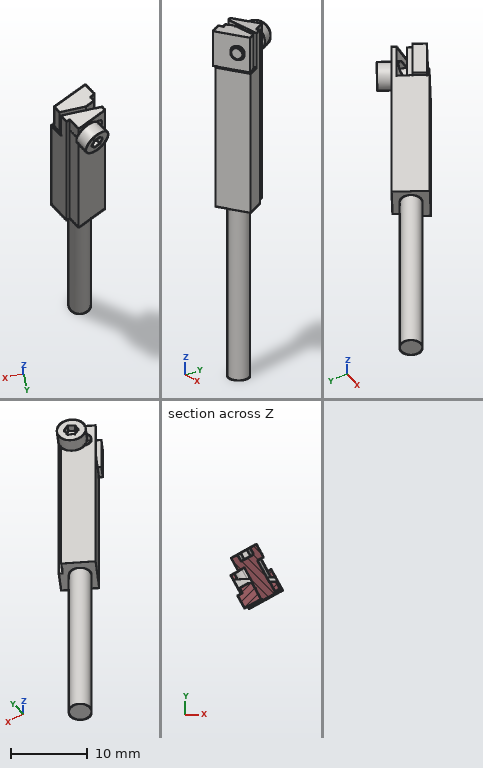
import cadquery as cq
import math

total_height = 50.0
shank_length = 25.0
jaw_height = 5.0
shank_diameter = 3.0
jaw_base = total_height - jaw_height

turn_angle = 28.8
block_width = 5.0
block_depth = 5.0
side_recess = 0.5
side_recess_length = 1.85
block_left = -(block_width - side_recess) / 2
block_right = block_left + block_width
block_back = block_depth / 2
block_front = -block_depth / 2
rail_back = block_back - side_recess_length

slot_start = 0.65
slot_angle = 25.5
slot_width = 0.55

jaw_front_gap = 0.35
jaw_side_gap = 0.2
jaw_overhang = 0.5
jaw_back_gap = 2.0
jaw_step_gap = 2.75
jaw_front = block_front + jaw_front_gap
jaw_left = block_left + jaw_side_gap
jaw_right = block_right - jaw_side_gap

screw_x = block_left + 3.0
screw_z = total_height - 2.5
thread_diameter = 2.0
thread_chamfer = 0.2
tip_projection = 0.25
head_diameter = 3.8
head_height = 1.95
socket_flats = 1.6
socket_depth = 1.0
head_seat = block_back
tip_y = jaw_front - tip_projection

oblong_height = 2.2
oblong_length = 3.9
oblong_x = block_left + block_width / 2


def prism(points, bottom, top):
    """Upright solid with a polygonal outline."""
    return cq.Workplane("XY").workplane(offset=bottom).polyline(points).close().extrude(top - bottom)


def screw_rod(diameter, start_y, length):
    """Cylinder on the screw axis, running from start_y toward the front."""
    plane = cq.Workplane("XZ", origin=(screw_x, start_y, screw_z))
    return plane.circle(diameter / 2).extrude(length)


def turned(body):
    """Turn a body from its local layout to its final direction."""
    return body.rotate((0, 0, 0), (0, 0, 1), turn_angle)


def make_holder():
    slope = math.tan(math.radians(slot_angle))
    slot_drop = slot_width / math.cos(math.radians(slot_angle))
    wall_left_y = block_back - slot_start
    recess_x = block_right - side_recess

    def slot_wall_y(x):
        return wall_left_y - slope * (x - block_left)

    shank = cq.Workplane("XY").circle(shank_diameter / 2).extrude(shank_length)

    block = prism(
        [
            (block_left, block_front),
            (block_right, block_front),
            (block_right, rail_back),
            (recess_x, rail_back),
            (recess_x, block_back),
            (block_left, block_back),
        ],
        shank_length,
        jaw_base,
    )

    rear_jaw = prism(
        [
            (block_left, wall_left_y),
            (block_right, slot_wall_y(block_right)),
            (block_right, rail_back),
            (recess_x, rail_back),
            (recess_x, block_back),
            (block_left, block_back),
        ],
        jaw_base,
        total_height,
    )

    oblong_plane = cq.Workplane("XZ", origin=(oblong_x, block_back, screw_z))
    oblong_hole = oblong_plane.slot2D(oblong_length, oblong_height).extrude(block_depth)
    rear_jaw = rear_jaw.cut(oblong_hole)

    jaw_back = block_back - jaw_back_gap
    jaw_step = block_back - jaw_step_gap
    bend_x = block_left + (wall_left_y - slot_drop - jaw_back) / slope
    front_jaw = prism(
        [
            (block_left - jaw_overhang, jaw_front),
            (jaw_right, jaw_front),
            (jaw_right, slot_wall_y(jaw_right) - slot_drop),
            (bend_x, jaw_back),
            (jaw_left, jaw_back),
            (jaw_left, jaw_step),
            (block_left - jaw_overhang, jaw_step),
        ],
        jaw_base,
        total_height,
    )

    front_jaw = front_jaw.cut(screw_rod(thread_diameter, block_back, block_depth))

    return shank.union(block).union(rear_jaw).union(front_jaw)


def make_screw():
    thread = screw_rod(thread_diameter, head_seat, head_seat - tip_y).faces("<Y").chamfer(thread_chamfer)
    head_end = head_seat + head_height
    head = screw_rod(head_diameter, head_end, head_height)
    socket_corners = socket_flats / math.cos(math.pi / 6)
    socket_plane = cq.Workplane("XZ", origin=(screw_x, head_end, screw_z))
    socket = socket_plane.polygon(6, socket_corners).extrude(socket_depth)
    return head.union(thread).cut(socket)


holder = turned(make_holder())
screw = turned(make_screw())

result = cq.Compound.makeCompound([holder.val(), screw.val()])